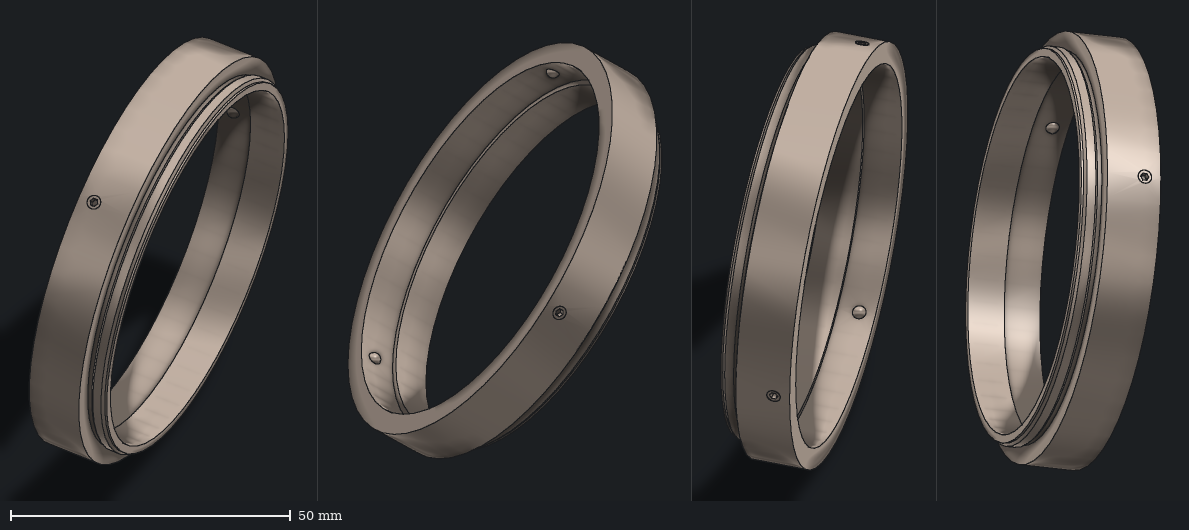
import cadquery as cq
import math

total_length = 13.8
body_length = 10.0
body_radius = 78.0 / 2

bore_radius = 70.0 / 2
bore_depth = 7.0
throat_radius = 68.0 / 2

neck_radius = 71.1 / 2
crest_radius = 72.0 / 2
pilot_radius = 71.0 / 2
crest_start = 11.25
crest_end = 12.9

screw_count = 3
screw_x = 3.0
screw_radius = 2.5 / 2
screw_head_radius = body_radius - 0.1
screw_tip_radius = throat_radius
socket_across_flats = 1.3
socket_depth = 1.4
cut_clearance = 1.0


def make_ring():
    """Revolve the half section of the ring about the X axis."""
    neck_rise = crest_radius - neck_radius
    pilot_drop = crest_radius - pilot_radius
    section = [
        (0, bore_radius),
        (0, body_radius),
        (body_length, body_radius),
        (body_length, neck_radius),
        (crest_start - neck_rise, neck_radius),
        (crest_start, crest_radius),
        (crest_end, crest_radius),
        (crest_end + pilot_drop, pilot_radius),
        (total_length, pilot_radius),
        (total_length, throat_radius),
        (bore_depth, throat_radius),
        (bore_depth, bore_radius),
    ]
    return cq.Workplane("XY").polyline(section).close().revolve(360, (0, 0, 0), (1, 0, 0))


def make_screw_tip():
    """Ball point that stands out of the bore wall."""
    ball_center = (screw_x, screw_tip_radius + screw_radius, 0)
    return cq.Workplane("XY").sphere(screw_radius).translate(ball_center)


def make_screw_recess():
    """Shallow hole mouth above the screw head, with the hex socket below it."""
    head_plane = cq.Plane(origin=(screw_x, screw_head_radius, 0), xDir=(1, 0, 0), normal=(0, 1, 0))
    mouth_height = body_radius - screw_head_radius + cut_clearance
    mouth = cq.Workplane(head_plane).circle(screw_radius).extrude(mouth_height)
    across_corners = socket_across_flats / math.cos(math.pi / 6)
    socket = cq.Workplane(head_plane).polygon(6, across_corners).extrude(-socket_depth)
    return mouth.union(socket)


def add_screw(ring, angle):
    """Add one set screw, turned about the ring axis by the angle in degrees."""
    tip = make_screw_tip().rotate((0, 0, 0), (1, 0, 0), angle)
    recess = make_screw_recess().rotate((0, 0, 0), (1, 0, 0), angle)
    return ring.union(tip).cut(recess)


result = make_ring()
for index in range(screw_count):
    result = add_screw(result, index * 360.0 / screw_count)